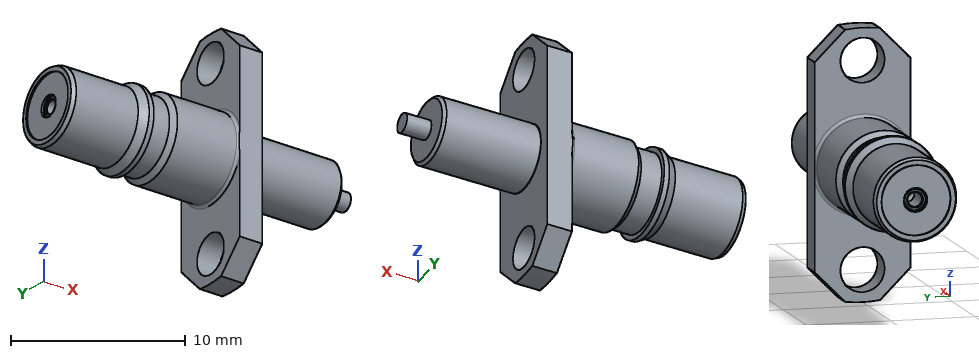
import cadquery as cq
import math

total_length = 21.1
nose_chamfer_end = 0.27
ring_start = 4.66
ring_crest_start = 5.21
ring_end = 5.55
shoulder_start = 6.88
shoulder_end = 7.22
flange_front = 11.58
flange_back = 13.19
tail_end = 19.52

nose_radius = 2.35
barrel_radius = 2.47
crest_radius = 2.79
root_fillet = 0.2
tail_radius = 2.09
tail_chamfer = 0.2

flange_width = 5.7
flange_length = 16.0
end_arc_half_width = 1.03
screw_hole_offset = 6.1
screw_hole_radius = 1.3

insulator_radius = 2.05
insulator_recess = 0.1
contact_clearance_radius = 0.7
contact_radius = 0.61
contact_recess = 0.25
socket_radius = 0.42
socket_depth = 1.69
socket_tip_length = 0.21
socket_mouth_chamfer = 0.06


def revolve_about_x(profile):
    """Revolve a closed list of (x, radius) points about the X axis."""
    outline = cq.Workplane("XY").polyline(profile).close()
    return outline.revolve(360, (0, 0, 0), (1, 0, 0))


def cylinder_along_x(start, end, radius):
    return cq.Workplane("YZ").workplane(offset=start).circle(radius).extrude(end - start)


def make_front_barrel():
    """Mating nose, snap ring, rear barrel up to the flange."""
    return revolve_about_x([
        (0, 0),
        (0, nose_radius),
        (nose_chamfer_end, barrel_radius),
        (ring_start, barrel_radius),
        (ring_crest_start, crest_radius),
        (ring_end, crest_radius),
        (ring_end, barrel_radius),
        (shoulder_start, barrel_radius),
        (shoulder_end, crest_radius),
        (flange_front, crest_radius),
        (flange_front, 0),
    ])


def make_root_fillet():
    """Concave ring between rear barrel and flange, cut flush with the flange's long sides."""
    fillet_start = flange_front - root_fillet
    outer_radius = crest_radius + root_fillet
    arc_offset = root_fillet * math.sqrt(0.5)
    ring = (
        cq.Workplane("XY")
        .moveTo(fillet_start, barrel_radius)
        .lineTo(fillet_start, crest_radius)
        .threePointArc(
            (fillet_start + arc_offset, outer_radius - arc_offset),
            (flange_front, outer_radius),
        )
        .lineTo(flange_front, barrel_radius)
        .close()
        .revolve(360, (0, 0, 0), (1, 0, 0))
    )
    width_limit = cq.Workplane("XY").box(2 * total_length, flange_width, flange_length)
    return ring.intersect(width_limit)


def make_flange():
    """Plate with clipped corners, ends rounded about the axis, and two screw holes."""
    half_width = flange_width / 2
    end_radius = flange_length / 2
    corner_z = math.sqrt(end_radius**2 - end_arc_half_width**2)
    side_z = corner_z - (half_width - end_arc_half_width)
    return (
        cq.Workplane("YZ")
        .workplane(offset=flange_front)
        .moveTo(half_width, -side_z)
        .lineTo(half_width, side_z)
        .lineTo(end_arc_half_width, corner_z)
        .threePointArc((0, end_radius), (-end_arc_half_width, corner_z))
        .lineTo(-half_width, side_z)
        .lineTo(-half_width, -side_z)
        .lineTo(-end_arc_half_width, -corner_z)
        .threePointArc((0, -end_radius), (end_arc_half_width, -corner_z))
        .close()
        .pushPoints([(0, screw_hole_offset), (0, -screw_hole_offset)])
        .circle(screw_hole_radius)
        .extrude(flange_back - flange_front)
    )


def make_tail():
    return cylinder_along_x(flange_back, tail_end, tail_radius).faces(">X").chamfer(tail_chamfer)


def make_housing():
    """Metal shell: stepped bore holds the insulator, then fits the contact."""
    front = make_front_barrel().union(make_root_fillet())
    shell = front.union(make_flange()).union(make_tail())
    insulator_bore = cylinder_along_x(0, flange_back, insulator_radius)
    contact_bore = cylinder_along_x(flange_back, tail_end, contact_radius)
    return shell.cut(insulator_bore).cut(contact_bore)


def make_insulator():
    """Sleeve that fills the housing bore around the contact."""
    mouth = cylinder_along_x(insulator_recess, contact_recess, contact_clearance_radius)
    contact_bore = cylinder_along_x(contact_recess, flange_back, contact_radius)
    sleeve = cylinder_along_x(insulator_recess, flange_back, insulator_radius)
    return sleeve.cut(mouth).cut(contact_bore)


def make_contact():
    """Centre pin with a chamfered, cone-bottomed socket in its front end."""
    socket_end = contact_recess + socket_depth
    return revolve_about_x([
        (contact_recess, contact_radius),
        (contact_recess, socket_radius + socket_mouth_chamfer),
        (contact_recess + socket_mouth_chamfer, socket_radius),
        (socket_end, socket_radius),
        (socket_end + socket_tip_length, 0),
        (total_length, 0),
        (total_length, contact_radius),
    ])


housing = make_housing()
insulator = make_insulator()
contact = make_contact()

result = cq.Compound.makeCompound([housing.val(), insulator.val(), contact.val()])